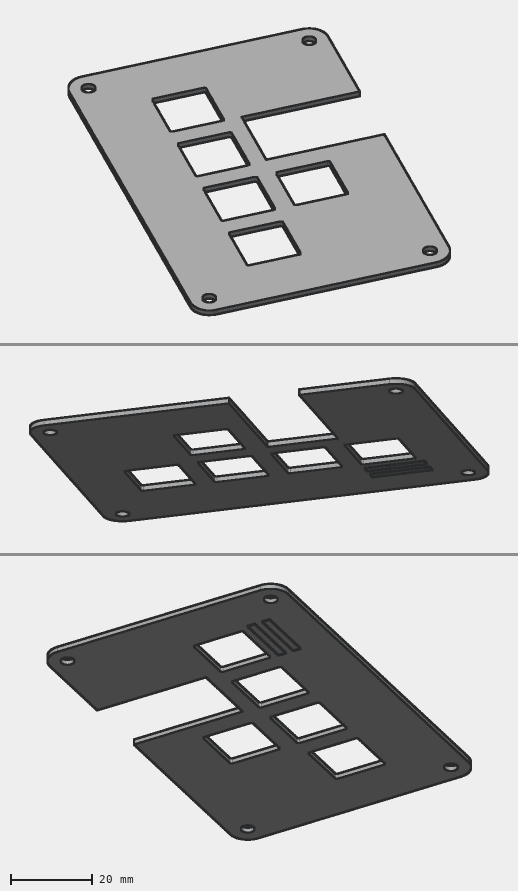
import cadquery as cq

plate_length = 99.7
plate_width = 67.7
total_height = 1.7
strip_height = 0.2
plate_thickness = total_height - strip_height
corner_radius = 5.0

hole_diameter = 3.4
hole_spacing_x = plate_length - 2 * corner_radius
hole_spacing_y = plate_width - 2 * corner_radius

notch_width = 18.3
notch_depth = 30.9
notch_center_x = -12.3

key_size = 14.1
key_pitch = 19.0
key_corner_radius = 0.5
keys_in_row = 4
key_row_y = -8.6
upper_key_column = 2

strip_length = 15.6
strip_width = 2.1
strip_center_x = -29.3
strip_pitch = 4.2
strip_pair_center_y = -20.9


def make_plate():
    return (
        cq.Workplane("XY")
        .rect(plate_length, plate_width)
        .extrude(plate_thickness)
        .edges("|Z")
        .fillet(corner_radius)
    )


def make_mounting_holes():
    return (
        cq.Workplane("XY")
        .rect(hole_spacing_x, hole_spacing_y, forConstruction=True)
        .vertices()
        .circle(hole_diameter / 2)
        .extrude(plate_thickness)
    )


def make_notch():
    notch_center_y = (plate_width - notch_depth) / 2
    return (
        cq.Workplane("XY")
        .center(notch_center_x, notch_center_y)
        .rect(notch_width, notch_depth)
        .extrude(plate_thickness)
    )


def make_key_openings():
    first_key_x = -key_pitch * (keys_in_row - 1) / 2
    key_columns = [first_key_x + column * key_pitch for column in range(keys_in_row)]
    centers = [(x, key_row_y) for x in key_columns]
    centers.append((key_columns[upper_key_column], key_row_y + key_pitch))
    return (
        cq.Workplane("XY")
        .pushPoints(centers)
        .rect(key_size, key_size)
        .extrude(plate_thickness)
        .edges("|Z")
        .fillet(key_corner_radius)
    )


def make_underside_strips():
    centers = [(strip_center_x, strip_pair_center_y + side * strip_pitch / 2) for side in (-1, 1)]
    return (
        cq.Workplane("XY")
        .pushPoints(centers)
        .rect(strip_length, strip_width)
        .extrude(-strip_height)
    )


result = (
    make_plate()
    .cut(make_mounting_holes())
    .cut(make_notch())
    .cut(make_key_openings())
    .union(make_underside_strips())
)